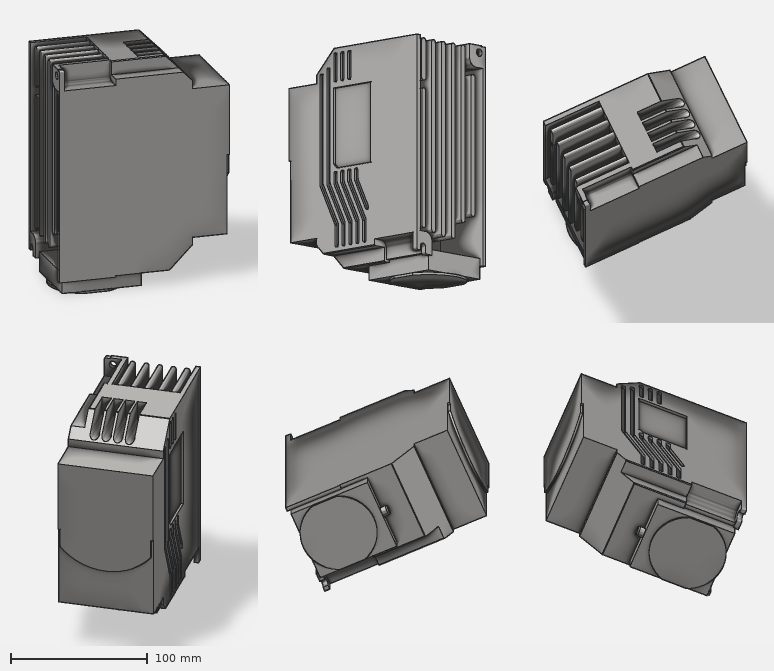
import cadquery as cq
import math


WIDTH = 72.0
DEPTH = 130.6
HEIGHT = 174.5

HOUSING_FRONT_Y = 102.3
HOUSING_BOTTOM = 12.4
CHAMFER = 17.9
EDGE_BREAK = 0.25

LID_BOTTOM = 35.7
LID_TOP = 150.4
DOOR_THICKNESS = 1.8
DOOR_BOTTOM = 96.6
DOOR_TONGUE_MARGIN = 1.7
DOOR_TONGUE_SHOULDER = 82.4
DOOR_TONGUE_TIP = 67.0

FIN_ROOT_Y = 43.2
FIN_TIP_Y = 2.3
LEFT_WALL = 3.6
LEFT_WALL_BOTTOM = 14.8
RIGHT_WALL = 3.0
RIGHT_WALL_BOTTOM = 11.3
FIN_WIDTH = 4.0
WIDE_FIN_WIDTH = 4.8
FIRST_FIN_X = 9.5
FIN_PITCH = 10.3
FIN_TOP = HEIGHT - 1.3
FINS = [
    (0, 141.9, FIN_TOP, WIDE_FIN_WIDTH),
    (0, 32.4, 136.1, FIN_WIDTH),
    (1, 30.1, FIN_TOP, FIN_WIDTH),
    (2, 28.3, FIN_TOP, FIN_WIDTH),
    (3, 28.3, FIN_TOP, FIN_WIDTH),
    (4, 41.4, FIN_TOP, FIN_WIDTH),
    (5, 47.2, 152.6, FIN_WIDTH),
]

LUG_THICKNESS = 4.0
LUG_HEIGHT = 16.7
LOWER_LUG_WIDTH = 16.0
UPPER_LUG_WIDTH = 16.9
LUG_RADIUS = 6.8
SHELL_SIDE_WALL = 3.6
SHELL_FLOOR = 1.2
LOWER_POCKET_RADIUS = 5.7
UPPER_POCKET_RADIUS = 3.0
LOWER_SHELL_BOTTOM = 14.2
LUG_CORNER_FILLET = 1.2
UPPER_LUG_STEP_WIDTH = 4.5
UPPER_LUG_STEP = 0.6
SCREW_HOLE_DIAMETER = 5.5
SCREW_HOLE_X = 65.4
SCREW_HOLE_Z = 169.1
SCREW_SLOT_WIDTH = 5.3
SCREW_SLOT_X = 6.4
SCREW_SLOT_TOP = 20.1

RECESS_WIDTH = 10.4
RECESS_HEIGHT = 10.6
RECESS_EDGE_BREAK = 0.7
RECESS_END_Y = HOUSING_FRONT_Y - CHAMFER + RECESS_HEIGHT

TROUGH_COUNT = 4
TROUGH_WIDTH = 6.9
TROUGH_PITCH = 8.87
FIRST_TROUGH_X = 26.5
TROUGH_BACK_Y = 65.0
TROUGH_BOTTOM = 157.8

SIDE_DEPTH = 2.0
GROOVE_WIDTH = 3.3
FIRST_GROOVE_Y = 97.2
GROOVE_PITCH = 7.05
GROOVE_SHIFT = 15.4
GROOVE_UPPER_BEND = 74.6
GROOVE_LOWER_BEND = 43.6
GROOVE_BOTTOM = 26.7
GROOVE_TOPS = [157.1, 160.7, 83.0, 83.0, 83.0]
LAST_GROOVE_TOP = 83.0
LAST_GROOVE_END = 50.8
SHORT_GROOVE_COLUMNS = [2, 3, 4]
SHORT_GROOVE_BOTTOM = 149.4
SHORT_GROOVE_TOP = 171.0
LABEL_BACK_Y = 47.1
LABEL_FRONT_Y = 85.1
LABEL_BOTTOM = 85.4
LABEL_TOP = 145.1
LABEL_CHAMFER = 3.5

FAN_LEFT = 15.4
FAN_RIGHT = WIDTH - RIGHT_WALL
FAN_BACK_Y = 3.0
FAN_FRONT_Y = 63.9
FAN_BOTTOM = 1.8
FAN_TOP = 17.2
GRILLE_DIAMETER = 56.3
GRILLE_FLAT_WIDTH = 53.0
GRILLE_Y = 29.3
PLUG_DIAMETER = 7.2
PLUG_LENGTH = 5.3
PLUG_CHAMFER_LENGTH = 1.2
PLUG_CHAMFER_HEIGHT = 0.4
PLUG_X = 42.2
PLUG_Z = 6.3


def box(x0, x1, y0, y1, z0, z1):
    """Block between two opposite corners."""
    return cq.Workplane("XY").box(x1 - x0, y1 - y0, z1 - z0, centered=False).translate((x0, y0, z0))


def along_y(y_start):
    """Sketch plane with X right and Z up; a negative extrusion runs toward +Y."""
    return cq.Workplane("XZ", origin=(0, y_start, 0))


def half_turn(shape):
    """Turn a lower-left corner feature into the matching upper-right one."""
    centre_x = WIDTH / 2
    centre_z = (HEIGHT + HOUSING_BOTTOM) / 2
    return shape.rotate((centre_x, 0, centre_z), (centre_x, 1, centre_z), 180)


def make_housing():
    front = HOUSING_FRONT_Y
    profile = [
        (FIN_ROOT_Y, HOUSING_BOTTOM),
        (front - CHAMFER - EDGE_BREAK, HOUSING_BOTTOM),
        (front - CHAMFER + EDGE_BREAK, HOUSING_BOTTOM + EDGE_BREAK),
        (front, HOUSING_BOTTOM + CHAMFER),
        (front, HEIGHT - CHAMFER),
        (front - CHAMFER + EDGE_BREAK, HEIGHT - EDGE_BREAK),
        (front - CHAMFER - EDGE_BREAK, HEIGHT),
        (FIN_ROOT_Y, HEIGHT),
    ]
    return cq.Workplane("YZ").polyline(profile).close().extrude(WIDTH)


def make_lid():
    lid_face = DEPTH - DOOR_THICKNESS
    lid = box(0, WIDTH, HOUSING_FRONT_Y, lid_face, LID_BOTTOM, LID_TOP)
    door = box(0, WIDTH, lid_face, DEPTH, DOOR_BOTTOM, LID_TOP)
    left = DOOR_TONGUE_MARGIN
    right = WIDTH - DOOR_TONGUE_MARGIN
    tongue = (
        along_y(lid_face)
        .moveTo(left, DOOR_BOTTOM)
        .lineTo(left, DOOR_TONGUE_SHOULDER)
        .threePointArc((WIDTH / 2, DOOR_TONGUE_TIP), (right, DOOR_TONGUE_SHOULDER))
        .lineTo(right, DOOR_BOTTOM)
        .close()
        .extrude(-DOOR_THICKNESS)
    )
    return lid.union(door).union(tongue)


def make_fins():
    fins = cq.Workplane("XY")
    for column, bottom, top, width in FINS:
        fin = (
            along_y(FIN_TIP_Y)
            .center(FIRST_FIN_X + column * FIN_PITCH, (bottom + top) / 2)
            .slot2D(top - bottom, width, 90)
            .extrude(FIN_TIP_Y - FIN_ROOT_Y)
        )
        fins = fins.add(fin)
    return fins.combine()


def make_side_walls():
    left = box(0, LEFT_WALL, 0, FIN_ROOT_Y, LEFT_WALL_BOTTOM, HEIGHT)
    right = box(WIDTH - RIGHT_WALL, WIDTH, 0, FIN_ROOT_Y, RIGHT_WALL_BOTTOM, HEIGHT - UPPER_LUG_STEP)
    return left.union(right)


def corner_block(width, height, radius, y0, y1):
    """Block in the lower-left housing corner with its inner edge rounded."""
    block = box(0, width, y0, y1, HOUSING_BOTTOM, HOUSING_BOTTOM + height)
    return block.edges("|Y and >X and >Z").fillet(radius)


def corner_shell(width):
    return corner_block(width, LUG_HEIGHT, LUG_RADIUS, 0, FIN_ROOT_Y)


def corner_pocket(width, radius):
    return corner_block(
        width - SHELL_SIDE_WALL, LUG_HEIGHT - SHELL_FLOOR, radius, LUG_THICKNESS, FIN_ROOT_Y
    )


def corner_recess():
    """Recess behind the lower-left pocket, through the chamfer, with its lower edge broken."""
    ceiling = HOUSING_BOTTOM + RECESS_HEIGHT
    profile = [
        (0, HOUSING_BOTTOM),
        (RECESS_WIDTH + RECESS_EDGE_BREAK, HOUSING_BOTTOM),
        (RECESS_WIDTH, HOUSING_BOTTOM + RECESS_EDGE_BREAK),
        (RECESS_WIDTH, ceiling),
        (0, ceiling),
    ]
    return along_y(FIN_ROOT_Y).polyline(profile).close().extrude(FIN_ROOT_Y - RECESS_END_Y)


def recess_ceiling_break():
    """Bevel where the ceiling of the lower recess meets the left side."""
    ceiling = HOUSING_BOTTOM + RECESS_HEIGHT
    profile = [(0, ceiling), (RECESS_EDGE_BREAK, ceiling), (0, ceiling + RECESS_EDGE_BREAK)]
    length = RECESS_END_Y + RECESS_EDGE_BREAK - FIN_ROOT_Y
    return along_y(FIN_ROOT_Y).polyline(profile).close().extrude(-length)


def lower_lug_cuts():
    """Open screw slot, the shortened outer foot and the raised lower edge of the shell."""
    radius = SCREW_SLOT_WIDTH / 2
    arc_z = SCREW_SLOT_TOP - radius
    slot = box(SCREW_SLOT_X - radius, SCREW_SLOT_X + radius, 0, LUG_THICKNESS, HOUSING_BOTTOM, arc_z)
    slot_end = along_y(0).center(SCREW_SLOT_X, arc_z).circle(radius).extrude(-LUG_THICKNESS)
    outer_foot = box(0, SCREW_SLOT_X, 0, LUG_THICKNESS, HOUSING_BOTTOM, LEFT_WALL_BOTTOM)
    shell_edge = box(0, LOWER_LUG_WIDTH, LUG_THICKNESS, FIN_ROOT_Y, HOUSING_BOTTOM, LOWER_SHELL_BOTTOM)
    return slot.union(slot_end).union(outer_foot).union(shell_edge)


def corner_trim(x, z, toward_x, toward_z):
    """Material outside a lug corner at (x, z) rounded by an arc; signs point into the lug."""
    radius = LUG_CORNER_FILLET
    arc_gap = radius * (1 - math.sqrt(0.5))
    return (
        along_y(0)
        .moveTo(x, z)
        .lineTo(x + toward_x * radius, z)
        .threePointArc(
            (x + toward_x * arc_gap, z + toward_z * arc_gap),
            (x, z + toward_z * radius),
        )
        .close()
        .extrude(-LUG_THICKNESS)
    )


def upper_lug_cuts():
    """Screw hole and the lowered top edge of the outer end."""
    hole = (
        along_y(0)
        .center(SCREW_HOLE_X, SCREW_HOLE_Z)
        .circle(SCREW_HOLE_DIAMETER / 2)
        .extrude(-LUG_THICKNESS)
    )
    step_bottom = HEIGHT - UPPER_LUG_STEP
    step = box(WIDTH - UPPER_LUG_STEP_WIDTH, WIDTH, 0, LUG_THICKNESS, step_bottom, HEIGHT)
    return hole.union(step)


def lug_corner_trims():
    outer_foot = corner_trim(0, LEFT_WALL_BOTTOM, 1, 1)
    inner_foot = corner_trim(SCREW_SLOT_X + SCREW_SLOT_WIDTH / 2, HOUSING_BOTTOM, 1, 1)
    upper_end = corner_trim(WIDTH, HEIGHT - UPPER_LUG_STEP, -1, -1)
    return outer_foot.union(inner_foot).union(upper_end)


def top_troughs():
    """Round-bottomed troughs running out through the upper chamfer."""
    radius = TROUGH_WIDTH / 2
    axis_z = TROUGH_BOTTOM + radius
    length = HOUSING_FRONT_Y - TROUGH_BACK_Y
    troughs = cq.Workplane("XY")
    for index in range(TROUGH_COUNT):
        x = FIRST_TROUGH_X + index * TROUGH_PITCH
        trough = (
            along_y(TROUGH_BACK_Y)
            .moveTo(x - radius, HEIGHT)
            .lineTo(x - radius, axis_z)
            .threePointArc((x, TROUGH_BOTTOM), (x + radius, axis_z))
            .lineTo(x + radius, HEIGHT)
            .close()
            .extrude(-length)
        )
        troughs = troughs.add(trough)
    return troughs.combine()


def groove(points):
    """Round-ended groove in the left side along a (y, z) centre line."""
    cut = None
    for (y0, z0), (y1, z1) in zip(points, points[1:]):
        length = math.hypot(y1 - y0, z1 - z0)
        angle = math.degrees(math.atan2(z1 - z0, y1 - y0))
        leg = (
            cq.Workplane("YZ")
            .center((y0 + y1) / 2, (z0 + z1) / 2)
            .slot2D(length + GROOVE_WIDTH, GROOVE_WIDTH, angle)
            .extrude(SIDE_DEPTH)
        )
        cut = leg if cut is None else cut.union(leg)
    return cut


def side_grooves():
    end = GROOVE_WIDTH / 2
    bent = []
    for column, top in enumerate(GROOVE_TOPS):
        y = FIRST_GROOVE_Y - column * GROOVE_PITCH
        lower_y = y - GROOVE_SHIFT
        bent.append([
            (y, top - end),
            (y, GROOVE_UPPER_BEND),
            (lower_y, GROOVE_LOWER_BEND),
            (lower_y, GROOVE_BOTTOM + end),
        ])

    last_y = FIRST_GROOVE_Y - len(GROOVE_TOPS) * GROOVE_PITCH
    slope = GROOVE_SHIFT / (GROOVE_UPPER_BEND - GROOVE_LOWER_BEND)
    last_end_z = LAST_GROOVE_END + end
    last_end_y = last_y - slope * (GROOVE_UPPER_BEND - last_end_z)
    bent.append([(last_y, LAST_GROOVE_TOP - end), (last_y, GROOVE_UPPER_BEND), (last_end_y, last_end_z)])

    short = []
    for column in SHORT_GROOVE_COLUMNS:
        y = FIRST_GROOVE_Y - column * GROOVE_PITCH
        short.append([(y, SHORT_GROOVE_BOTTOM + end), (y, SHORT_GROOVE_TOP - end)])
    return [groove(points) for points in bent + short]


def label_recess():
    recess = box(0, SIDE_DEPTH, LABEL_BACK_Y, LABEL_FRONT_Y, LABEL_BOTTOM, LABEL_TOP)
    return recess.edges("|X and >Y and <Z").chamfer(LABEL_CHAMFER)


def make_fan():
    """Fan box with a flat-sided round grille below and a round plug on its +Y side."""
    fan = box(FAN_LEFT, FAN_RIGHT, FAN_BACK_Y, FAN_FRONT_Y, FAN_BOTTOM, FAN_TOP)
    centre_x = (FAN_LEFT + FAN_RIGHT) / 2
    disc = cq.Workplane("XY").center(centre_x, GRILLE_Y).circle(GRILLE_DIAMETER / 2).extrude(FAN_BOTTOM)
    flats = cq.Workplane("XY").center(centre_x, GRILLE_Y).rect(GRILLE_FLAT_WIDTH, GRILLE_DIAMETER)
    grille = disc.intersect(flats.extrude(FAN_BOTTOM))
    plug = (
        along_y(FAN_FRONT_Y)
        .center(PLUG_X, PLUG_Z)
        .circle(PLUG_DIAMETER / 2)
        .extrude(-PLUG_LENGTH)
        .faces(">Y")
        .chamfer(PLUG_CHAMFER_LENGTH, PLUG_CHAMFER_HEIGHT)
    )
    return fan.union(grille).union(plug)


body = make_housing().union(make_lid()).union(make_side_walls()).union(make_fins())
body = body.union(corner_shell(LOWER_LUG_WIDTH)).union(half_turn(corner_shell(UPPER_LUG_WIDTH)))
body = body.cut(corner_pocket(LOWER_LUG_WIDTH, LOWER_POCKET_RADIUS))
body = body.cut(half_turn(corner_pocket(UPPER_LUG_WIDTH, UPPER_POCKET_RADIUS)))
body = body.cut(corner_recess()).cut(half_turn(corner_recess())).cut(recess_ceiling_break())
body = body.cut(lower_lug_cuts()).cut(upper_lug_cuts()).cut(lug_corner_trims())
body = body.cut(top_troughs()).cut(label_recess())
for side_groove in side_grooves():
    body = body.cut(side_groove)

result = body.union(make_fan())